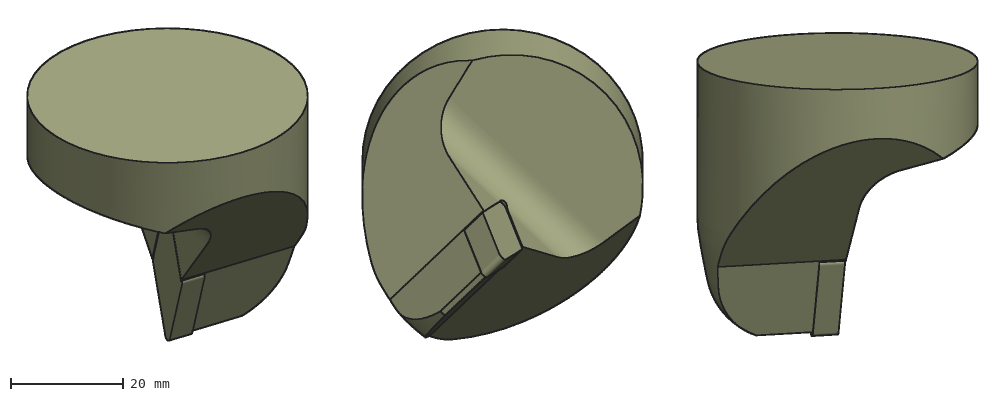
import cadquery as cq
import math

head_radius = 25.0
tool_length = 49.7

blend_start_z = -28.25
blend_radius = 20.0
cone_angle = math.radians(10)
cone_end_z = -39.0
heel_radius = 13.0

front_face_y = -0.2
relief_start_z = -11.3
relief_angle = math.radians(15)
relief_fillet = 8.0

insert_half_angle = math.radians(17.5)
insert_inscribed_radius = 4.75
insert_nose_radius = 0.8
insert_thickness = 4.75
insert_front_y = 0.0

shank_inset = 0.25
shank_bottom_z = -48.9
flank_start_z = -9.15
flank_end_z = -35.1

margin = 5.0

nose_setback = insert_nose_radius / math.sin(insert_half_angle) - insert_nose_radius
insert_half_length = insert_inscribed_radius / math.sin(insert_half_angle)
insert_center_z = -tool_length + insert_half_length - nose_setback


def turned_head():
    """Solid of revolution about Z."""
    def on_arc(center, radius, angle):
        return (center[0] + radius * math.cos(angle), center[1] - radius * math.sin(angle))

    blend_center = (head_radius - blend_radius, blend_start_z)
    cone_start = on_arc(blend_center, blend_radius, cone_angle)
    cone_end_radius = cone_start[0] - (cone_start[1] - cone_end_z) * math.tan(cone_angle)
    heel_center = (
        cone_end_radius - heel_radius * math.cos(cone_angle),
        cone_end_z + heel_radius * math.sin(cone_angle),
    )
    heel_bottom = on_arc(heel_center, heel_radius, math.pi / 2)
    heel_middle_angle = (cone_angle + math.pi / 2) / 2
    return (
        cq.Workplane("XZ")
        .lineTo(head_radius, 0)
        .lineTo(head_radius, blend_start_z)
        .threePointArc(on_arc(blend_center, blend_radius, cone_angle / 2), cone_start)
        .lineTo(cone_end_radius, cone_end_z)
        .threePointArc(on_arc(heel_center, heel_radius, heel_middle_angle), heel_bottom)
        .lineTo(0, heel_bottom[1])
        .close()
        .revolve(360, (0, 0, 0), (0, 1, 0))
    )


def front_outline():
    """Flanks and tapered shank with a narrow flat bottom, extruded right through the head along Y."""
    half_angle_slope = math.tan(insert_half_angle)
    shank_half_length = (insert_inscribed_radius - shank_inset) / math.sin(insert_half_angle)
    tip_z = insert_center_z - shank_half_length
    shank_bottom_half_width = (shank_bottom_z - tip_z) * half_angle_slope
    shank_top_half_width = (flank_end_z - tip_z) * half_angle_slope
    flank_slope = (flank_start_z - flank_end_z) / (head_radius - shank_top_half_width)
    outer_x = head_radius + margin
    right_side = [
        (outer_x, margin),
        (outer_x, flank_start_z + margin * flank_slope),
        (shank_top_half_width, flank_end_z),
        (shank_bottom_half_width, shank_bottom_z),
    ]
    left_side = [(-x, z) for x, z in reversed(right_side)]
    return (
        cq.Workplane("XZ")
        .polyline(right_side + left_side)
        .close()
        .extrude(head_radius + margin, both=True)
    )


def front_relief():
    """Body removed in front of the upright face and under the sloped underside."""
    outer_y = -head_radius - margin
    slope = math.tan(relief_angle)
    corner_z = relief_start_z - (front_face_y + head_radius) * slope
    bottom_z = -tool_length - margin
    return (
        cq.Workplane("YZ")
        .polyline([
            (front_face_y, corner_z),
            (front_face_y, bottom_z),
            (outer_y, bottom_z),
            (outer_y, relief_start_z + margin * slope),
        ])
        .close()
        .extrude(head_radius + margin, both=True)
        .edges(cq.selectors.NearestToPointSelector((0, front_face_y, corner_z)))
        .fillet(relief_fillet)
    )


def rhombus_prism(front_y):
    """Insert outline from front_y back to the seat of the insert."""
    half_width = insert_inscribed_radius / math.cos(insert_half_angle)
    back_y = insert_front_y + insert_thickness
    return (
        cq.Workplane("XZ", origin=(0, back_y, insert_center_z))
        .polyline([
            (0, insert_half_length),
            (half_width, 0),
            (0, -insert_half_length),
            (-half_width, 0),
        ])
        .close()
        .extrude(back_y - front_y)
        .edges("|Y")
        .fillet(insert_nose_radius)
    )


holder = turned_head().intersect(front_outline()).cut(front_relief())
pocket = rhombus_prism(front_face_y - margin)
result = holder.cut(pocket).union(rhombus_prism(insert_front_y))